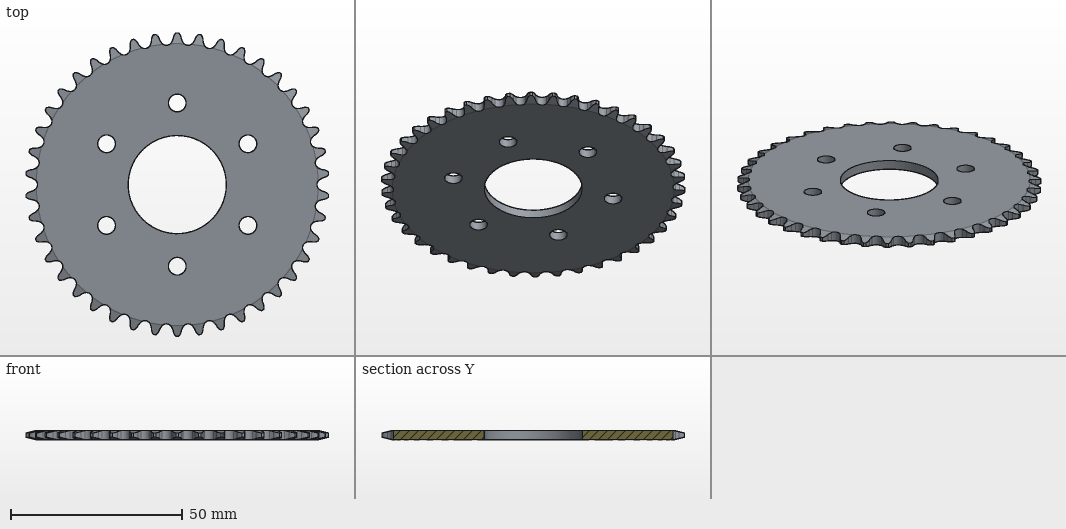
import cadquery as cq
import math

TEETH = 42
PITCH = 6.35
SEAT_RADIUS = 1.70
SEAT_HALF_ANGLE = 53.0
FLANK_RADIUS = 4.35
FLANK_SWEEP = 17.0
TIP_HALF_WIDTH = 0.38
TIP_CURVE_SAG = 0.16
CUT_MARGIN = 1.0

OUTER_RADIUS = 44.295
THICKNESS = 2.79
TIP_THICKNESS = 1.20
BEVEL_RADIUS = 41.12

BORE_DIAMETER = 28.575
BOLT_HOLES = 6
BOLT_HOLE_DIAMETER = 5.1
BOLT_CIRCLE_RADIUS = 23.81

TOOTH_ANGLE = 360 / TEETH
PITCH_RADIUS = PITCH / 2 / math.sin(math.radians(TOOTH_ANGLE / 2))


def on_circle(center, radius, angle):
    """Point on a circle, with the angle in degrees from the -Y direction towards +X."""
    turn = math.radians(angle)
    return (center[0] + radius * math.sin(turn), center[1] - radius * math.cos(turn))


def mirrored(point):
    return (-point[0], point[1])


def tooth_gap():
    """Cutter for the gap centred on +Y, reaching outward past the tooth tips."""
    seat = (0, PITCH_RADIUS)
    seat_bottom = on_circle(seat, SEAT_RADIUS, 0)
    seat_end = on_circle(seat, SEAT_RADIUS, SEAT_HALF_ANGLE)

    flank_center = on_circle(seat, SEAT_RADIUS - FLANK_RADIUS, SEAT_HALF_ANGLE)
    flank_mid = on_circle(flank_center, FLANK_RADIUS, SEAT_HALF_ANGLE + FLANK_SWEEP / 2)
    flank_end = on_circle(flank_center, FLANK_RADIUS, SEAT_HALF_ANGLE + FLANK_SWEEP)

    half_turn = math.radians(TOOTH_ANGLE / 2) - TIP_HALF_WIDTH / OUTER_RADIUS
    tip = (OUTER_RADIUS * math.sin(half_turn), OUTER_RADIUS * math.cos(half_turn))
    chord = math.dist(flank_end, tip)
    bulge = TIP_CURVE_SAG / chord
    tip_mid = (
        (flank_end[0] + tip[0]) / 2 - bulge * (tip[1] - flank_end[1]),
        (flank_end[1] + tip[1]) / 2 + bulge * (tip[0] - flank_end[0]),
    )
    outside = (tip[0], OUTER_RADIUS + CUT_MARGIN)

    return (
        cq.Workplane("XY", origin=(0, 0, -THICKNESS / 2))
        .moveTo(*seat_end)
        .threePointArc(flank_mid, flank_end)
        .threePointArc(tip_mid, tip)
        .lineTo(*outside)
        .lineTo(*mirrored(outside))
        .lineTo(*mirrored(tip))
        .threePointArc(mirrored(tip_mid), mirrored(flank_end))
        .threePointArc(mirrored(flank_mid), mirrored(seat_end))
        .threePointArc(seat_bottom, seat_end)
        .close()
        .extrude(THICKNESS)
    )


def blank():
    """Disc centred on Z = 0, bevelled on both faces and bored through."""
    return (
        cq.Workplane("XZ")
        .moveTo(BORE_DIAMETER / 2, -THICKNESS / 2)
        .lineTo(BEVEL_RADIUS, -THICKNESS / 2)
        .lineTo(OUTER_RADIUS, -TIP_THICKNESS / 2)
        .lineTo(OUTER_RADIUS, TIP_THICKNESS / 2)
        .lineTo(BEVEL_RADIUS, THICKNESS / 2)
        .lineTo(BORE_DIAMETER / 2, THICKNESS / 2)
        .close()
        .revolve(360, (0, 0, 0), (0, 1, 0))
    )


def cut_teeth(disc):
    """Cut one gap per tooth, leaving a tooth centred on +Y."""
    gap = tooth_gap().val()
    axis_start = cq.Vector(0, 0, 0)
    axis_end = cq.Vector(0, 0, 1)
    gaps = [gap.rotate(axis_start, axis_end, (i + 0.5) * TOOTH_ANGLE) for i in range(TEETH)]
    return cq.Workplane(disc.val().cut(*gaps))


def drill_bolt_holes(disc):
    holes = (
        cq.Workplane("XY", origin=(0, 0, -THICKNESS / 2))
        .polarArray(BOLT_CIRCLE_RADIUS, 90, 360, BOLT_HOLES)
        .circle(BOLT_HOLE_DIAMETER / 2)
        .extrude(THICKNESS)
    )
    return disc.cut(holes)


result = drill_bolt_holes(cut_teeth(blank()))